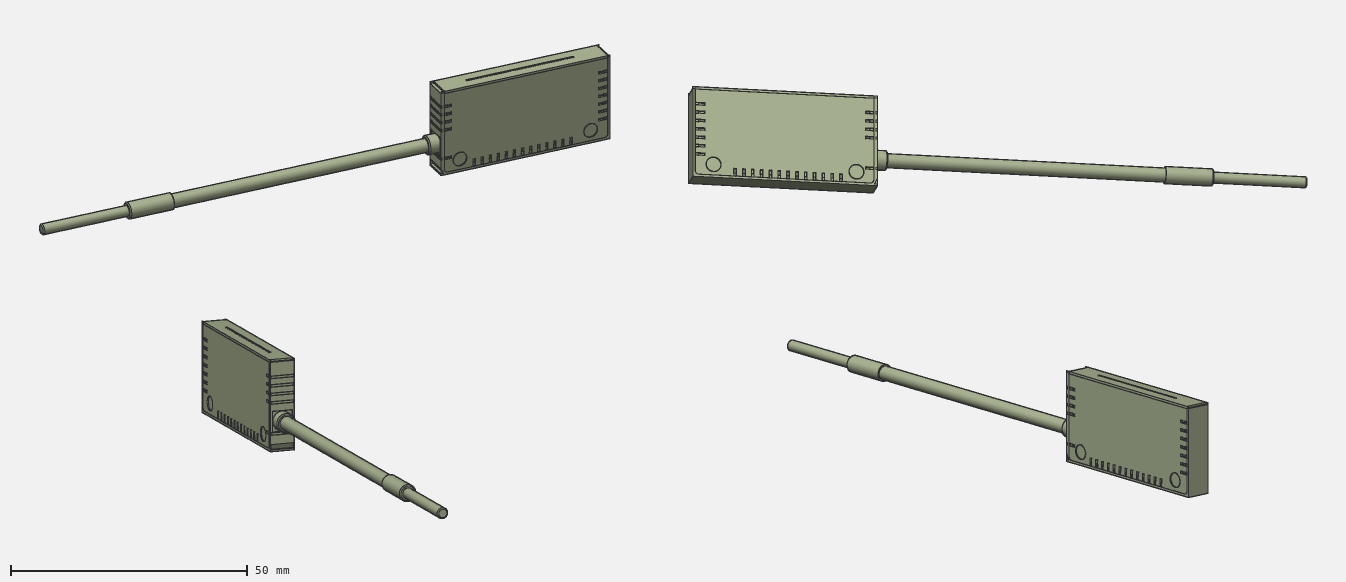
import cadquery as cq

case_width = 5.4
case_length = 39.6
case_height = 19.8

rim = 0.5
front_rim = 0.8
panel_depth = 0.07
panel_corner_radius = 0.8

side_plate = 0.1
rebate_depth = 0.4
front_lip = 0.4
front_bevel_depth = 0.7
front_bevel_height = 1.2

wall = 0.8
vent_width = 0.5
vent_depth = 0.3
vent_inner_depth = 0.5
back_vent_length = 2.1
front_vent_length = 1.7
floor_vent_length = 1.7
end_vent_top = 16.1
end_vent_pitch = 1.9
back_vent_count = 7
front_vent_count = 4
low_front_vent_height = 3.8
floor_vent_count = 13
floor_vent_span = 22.7
floor_vent_start = 7.8

front_groove_depth = 0.3

recess_diameter = 3.2
recess_depth = 0.3
recess_height = 2.9
recess_inset = 4.5

slit_length = 25.1
slit_width = 0.4
slit_depth = 0.4

probe_height = 6.5
collar_diameter = 4.2
collar_end = 2.4
tube_diameter = 3.0
tube_end = 62.1
sleeve_diameter = 3.7
sleeve_end = 72.4
tip_diameter = 2.4
tip_end = 92.5
probe_bevel = 0.3

collar_seat_width = 4.5
collar_seat_depth = 0.3

half_width = case_width / 2
panel_x = half_width - panel_depth
panel_back = case_length - rim
back_vent_heights = [end_vent_top - i * end_vent_pitch for i in range(back_vent_count)]
front_vent_heights = back_vent_heights[:front_vent_count] + [low_front_vent_height]
floor_vent_pitch = floor_vent_span / (floor_vent_count - 1)
floor_vent_places = [floor_vent_start + i * floor_vent_pitch for i in range(floor_vent_count)]


def block(x, y, z):
    """Box between two limits along each axis."""
    size = [limits[1] - limits[0] for limits in (x, y, z)]
    return cq.Workplane("XY").box(*size, centered=False).translate((x[0], y[0], z[0]))


def around(center, width):
    """Limits of a span of the given width."""
    return (center - width / 2, center + width / 2)


plate_gap = around(0, case_width - 2 * side_plate)


def from_panel(depth):
    """X limits of a cut of the given depth below the -X panel."""
    return (-half_width, -panel_x + depth)


def cut_both_sides(body, cutter):
    """Cut one broad side and the mirror image of the cut on the other."""
    return body.cut(cutter).cut(cutter.mirror("YZ"))


def make_case():
    body = block((-half_width, half_width), (0, case_length), (0, case_height))
    rebate_z = (case_height - rebate_depth, case_height)
    body = body.cut(block(plate_gap, (0, front_rim), rebate_z))
    body = body.cut(block(plate_gap, (panel_back, case_length), rebate_z))
    bevel_outline = [
        (0, front_lip),
        (front_bevel_depth, front_lip),
        (0, front_lip + front_bevel_height),
    ]
    bevel = (
        cq.Workplane("YZ")
        .polyline(bevel_outline)
        .close()
        .extrude(plate_gap[1], both=True)
    )
    return body.cut(bevel)


def cut_panels(body):
    panel = block((-half_width, -panel_x), (front_rim, panel_back), (rim, case_height - rim))
    panel = panel.edges("|X and <Z").fillet(panel_corner_radius)
    return cut_both_sides(body, panel)


def cut_end_vents(body, heights, border, inward, length):
    """Level vents running inward (+1 or -1 along Y) from a panel border."""
    wall_end = border + inward * wall
    vent_end = border + inward * length
    for height in heights:
        z = around(height, vent_width)
        body = cut_both_sides(body, block(from_panel(vent_depth), sorted((border, vent_end)), z))
        body = cut_both_sides(
            body, block(from_panel(vent_inner_depth), sorted((wall_end, vent_end)), z)
        )
    return body


def cut_floor_vents(body):
    vent_top = rim + floor_vent_length
    for place in floor_vent_places:
        y = around(place, vent_width)
        body = cut_both_sides(body, block(from_panel(vent_depth), y, (rim, vent_top)))
        body = cut_both_sides(
            body, block(from_panel(vent_inner_depth), y, (rim + wall, vent_top))
        )
    return body


def cut_front_grooves(body):
    for height in front_vent_heights:
        z = around(height, vent_width)
        body = body.cut(block(plate_gap, (0, front_groove_depth), z))
    return body


def cut_collar_seat(body):
    seat = block(
        around(0, collar_seat_width), (0, collar_seat_depth), around(probe_height, collar_seat_width)
    )
    return body.cut(seat)


def cut_round_recesses(body):
    for place in (recess_inset, case_length - recess_inset):
        recess = (
            cq.Workplane("YZ", origin=(-panel_x, place, recess_height))
            .circle(recess_diameter / 2)
            .extrude(recess_depth)
        )
        body = cut_both_sides(body, recess)
    return body


def cut_slit(body):
    return body.cut(
        block(
            around(0, slit_width),
            around(case_length / 2, slit_length),
            (case_height - slit_depth, case_height),
        )
    )


def rod(diameter, end, bevel=0):
    """Rod from inside the front wall to the given distance ahead of the case."""
    body = (
        cq.Workplane("XZ", origin=(0, wall, probe_height))
        .circle(diameter / 2)
        .extrude(end + wall)
    )
    return body.faces("<Y").chamfer(bevel) if bevel else body


def make_probe():
    probe = rod(tube_diameter, tube_end).union(rod(collar_diameter, collar_end, probe_bevel))
    sleeve = rod(sleeve_diameter, sleeve_end, probe_bevel)
    sleeve = sleeve.intersect(
        block(
            around(0, sleeve_diameter),
            (-sleeve_end, -tube_end),
            around(probe_height, sleeve_diameter),
        )
    )
    return probe.union(sleeve).union(rod(tip_diameter, tip_end, probe_bevel))


case = cut_panels(make_case())
case = cut_end_vents(case, back_vent_heights, panel_back, -1, back_vent_length)
case = cut_end_vents(case, front_vent_heights, front_rim, 1, front_vent_length)
case = cut_floor_vents(case)
case = cut_front_grooves(case)
case = cut_collar_seat(case)
case = cut_round_recesses(case)
case = cut_slit(case)
result = case.union(make_probe())